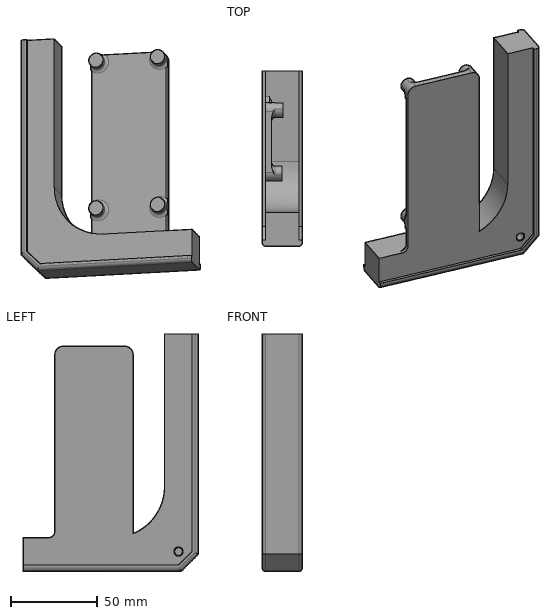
import cadquery as cq
import math

width = 23.3
depth = 101.6
height = 137.6

base_height = 19.7
pillar_depth = 19.7
inner_radius = 29.5
corner_chamfer = 10.0

rim_rise = 1.8
rim_width = 3.7
rim_round = 2.0

plate_front = 37.7
plate_back = 83.3
plate_top = 130.5
plate_inner_x = 5.5
plate_corner_radius = 5.1
bevel_rise = 1.4
bevel_run = 0.8
root_radius = 3.5

post_diameter = 8.5
post_inset = 4.4
lower_post_z = 38.0
front_post_tip = 11.5
back_post_tip = 12.0
post_fillet = 1.9

hole_diameter = 4.5
hole_chamfer = 0.4
hole_depth = 6.9
hole_y = 11.5
hole_z = 11.5

clearance = 6.9


def side_plane(x):
    """Plane at the given X with local axes along Y and Z."""
    return cq.Workplane("YZ", origin=(x, 0, 0))


def make_frame():
    """Full-width L with a round inner corner and rounded outer side edges."""
    frame = (
        side_plane(0)
        .moveTo(corner_chamfer, 0)
        .lineTo(depth, 0)
        .lineTo(depth, base_height)
        .lineTo(pillar_depth + inner_radius, base_height)
        .radiusArc((pillar_depth, base_height + inner_radius), inner_radius)
        .lineTo(pillar_depth, height)
        .lineTo(0, height)
        .lineTo(0, corner_chamfer)
        .close()
        .extrude(width)
    )
    corner_face = cq.selectors.DirectionMinMaxSelector(cq.Vector(0, 1, 1), False)
    outer_faces = frame.faces("<Y or <Z").add(frame.faces(corner_face))
    rim_edges = outer_faces.edges("<X or >X")
    return frame.newObject(rim_edges.vals()).fillet(rim_round)


def make_side_recess(start_x):
    """Recess of one side face, leaving the rim standing along the outer edges."""
    corner = corner_chamfer + rim_width * (math.sqrt(2) - 1)
    far_y = depth + clearance
    far_z = height + clearance
    return (
        side_plane(start_x)
        .moveTo(corner, rim_width)
        .lineTo(far_y, rim_width)
        .lineTo(far_y, far_z)
        .lineTo(rim_width, far_z)
        .lineTo(rim_width, corner)
        .close()
        .extrude(rim_rise)
    )


def make_plate_envelope():
    """Outline of the plate with its top corners rounded, open below at the back root."""
    foot = base_height + root_radius
    upper = (
        side_plane(0)
        .moveTo((plate_front + plate_back) / 2, (foot + plate_top) / 2)
        .rect(plate_back - plate_front, plate_top - foot)
        .extrude(width)
        .edges("|X and >Z")
        .fillet(plate_corner_radius)
    )
    lower = (
        side_plane(0)
        .moveTo((plate_front + depth) / 2, foot / 2)
        .rect(depth - plate_front, foot)
        .extrude(width)
    )
    return upper.union(lower)


def make_plate():
    """Upright plate with rounded top corners and a filleted root at the back."""
    thickness = plate_inner_x - rim_rise
    plate = (
        side_plane(rim_rise)
        .moveTo(plate_front, rim_width)
        .lineTo(plate_back + root_radius, rim_width)
        .lineTo(plate_back + root_radius, base_height)
        .radiusArc((plate_back, base_height + root_radius), root_radius)
        .lineTo(plate_back, plate_top)
        .lineTo(plate_front, plate_top)
        .close()
        .extrude(thickness)
    )
    front_edge = cq.selectors.NearestToPointSelector((plate_inner_x, plate_front, plate_top / 2))
    back_edge = cq.selectors.NearestToPointSelector((plate_inner_x, plate_back, plate_top / 2))
    root_edge = plate.faces(">X").edges("%CIRCLE")
    beveled_edges = (
        root_edge.add(plate.edges(front_edge)).add(plate.edges(back_edge)).vals()
    )
    beveled = plate.newObject(beveled_edges).chamfer(bevel_rise, bevel_run)
    return beveled.intersect(make_plate_envelope())


def make_post(y, z, tip_x):
    """Post along X with a concave flare where it meets the plate."""
    radius = post_diameter / 2
    post = (
        cq.Workplane("XY")
        .moveTo(rim_rise, 0)
        .lineTo(rim_rise, radius + post_fillet)
        .lineTo(plate_inner_x, radius + post_fillet)
        .radiusArc((plate_inner_x + post_fillet, radius), -post_fillet)
        .lineTo(tip_x, radius)
        .lineTo(tip_x, 0)
        .close()
        .revolve(360, (0, 0, 0), (1, 0, 0))
    )
    return post.translate((0, y, z))


def make_posts():
    """Four posts, trimmed to the outline of the plate."""
    columns = [(plate_front + post_inset, front_post_tip), (plate_back - post_inset, back_post_tip)]
    posts = cq.Workplane("XY")
    for y, tip_x in columns:
        for z in (lower_post_z, plate_top - post_inset):
            posts = posts.add(make_post(y, z, tip_x))
    return posts.combine().intersect(make_plate_envelope())


def make_hole():
    """Blind hole with a small chamfer at its mouth."""
    centre = side_plane(rim_rise).center(hole_y, hole_z)
    bore = centre.circle(hole_diameter / 2).extrude(hole_depth)
    mouth = (
        centre.circle(hole_diameter / 2 + hole_chamfer)
        .workplane(offset=hole_chamfer)
        .circle(hole_diameter / 2)
        .loft()
    )
    return bore.union(mouth)


result = (
    make_frame()
    .cut(make_side_recess(0))
    .cut(make_side_recess(width - rim_rise))
    .union(make_plate())
    .union(make_posts())
    .cut(make_hole())
)